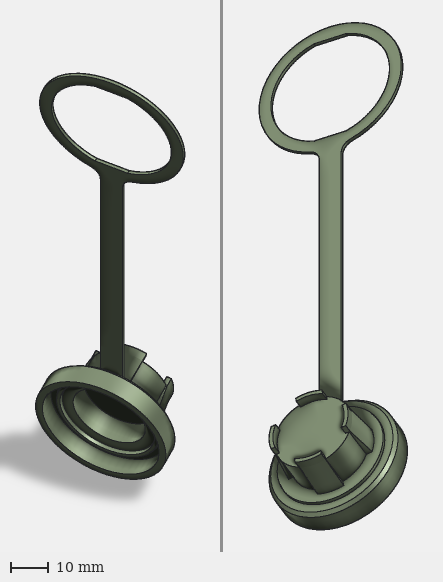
import cadquery as cq

overall_depth = 20.62
overall_height = 166.96

cap_radius = 19.0
cap_back = 6.7
cap_chamfer = 1.0
rim_inner_radius = 17.0
cup_depth = 5.3

ridge_height = 1.2
ridge_crest_inner_radius = 13.8
ridge_crest_outer_radius = 14.8
ridge_inner_flank_run = 0.15
ridge_outer_flank_run = 0.4

plug_radius = 11.4
plug_end = 18.0
bore_radius = 10.5
bore_end = 12.1

tab_count = 4
tab_base_radius = 12.9
tab_tip_radius = 11.65
tab_width = 7.6
tab_twist = 10.0

strap_thickness = 1.0
strap_width = 6.5
collar_radius = 15.6
ring_radius = 20.95
ring_hole_radius = 17.45
ring_hole_height = 33.6
strap_fillet = 4.0
ring_center_z = overall_height - cap_radius - ring_radius
strap_back = cap_back + strap_thickness


def revolve_about_y(profile):
    """Revolve a profile of (radius, Y) points about the cap axis."""
    return cq.Workplane("XY").polyline(profile).close().revolve(360, (0, 0, 0), (0, 1, 0))


def disc(radius, start, end):
    """Round disc on the cap axis between two Y positions."""
    return cq.Workplane("XZ", origin=(0, start, 0)).circle(radius).extrude(start - end)


def make_cap():
    cap = disc(cap_radius, 0, cap_back).faces(">Y").chamfer(cap_chamfer)
    return cap.cut(disc(rim_inner_radius, 0, cup_depth))


def make_ridge():
    crest = cup_depth - ridge_height
    return revolve_about_y([
        (ridge_crest_inner_radius - ridge_inner_flank_run, cup_depth),
        (ridge_crest_inner_radius, crest),
        (ridge_crest_outer_radius, crest),
        (ridge_crest_outer_radius + ridge_outer_flank_run, cup_depth),
    ])


def make_tab_sleeve():
    """Sleeve from which the tabs are cut: tapered along the plug, straight beyond its end."""
    return revolve_about_y([
        (bore_radius, cap_back),
        (tab_base_radius, cap_back),
        (tab_base_radius, strap_back),
        (tab_tip_radius, plug_end),
        (tab_tip_radius, overall_depth),
        (bore_radius, overall_depth),
    ])


def make_tab_slab(middle_angle):
    """Parallel-sided slab that keeps the sleeve over one tab, turned slightly about the tab root."""
    slab = cq.Workplane("XY").box(plug_radius, 2 * overall_depth, tab_width)
    turned_slab = slab.rotate((0, 0, 0), (0, 1, 0), tab_twist)
    return turned_slab.translate((plug_radius, 0, 0)).rotate((0, 0, 0), (0, 1, 0), middle_angle)


def make_tabs():
    sleeve = make_tab_sleeve()
    tabs = cq.Workplane("XY")
    for index in range(tab_count):
        middle_angle = index * 360 / tab_count
        tabs = tabs.add(sleeve.intersect(make_tab_slab(middle_angle)))
    return tabs.combine()


def make_strap():
    ring = disc(ring_radius, cap_back, strap_back).translate((0, 0, ring_center_z))
    band = (
        cq.Workplane("XZ", origin=(0, cap_back, 0))
        .center(0, ring_center_z / 2)
        .rect(strap_width, ring_center_z)
        .extrude(-strap_thickness)
    )
    neck_z = ring_center_z - ring_radius
    neck_edges = cq.selectors.BoxSelector(
        (-strap_width, cap_back - strap_thickness, neck_z - strap_width / 2),
        (strap_width, strap_back + strap_thickness, neck_z + strap_width / 2),
    )
    blade = ring.union(band).edges("|Y").edges(neck_edges).fillet(strap_fillet)
    hole = disc(ring_hole_radius, cap_back, strap_back).intersect(
        cq.Workplane("XY").box(2 * ring_radius, 2 * overall_depth, ring_hole_height)
    )
    blade = blade.cut(hole.translate((0, 0, ring_center_z)))
    return blade.union(disc(collar_radius, cap_back, strap_back))


plug = disc(plug_radius, cup_depth, plug_end)
bore = disc(bore_radius, 0, bore_end)

result = make_cap().union(make_ridge()).union(make_strap()).union(plug).union(make_tabs()).cut(bore)